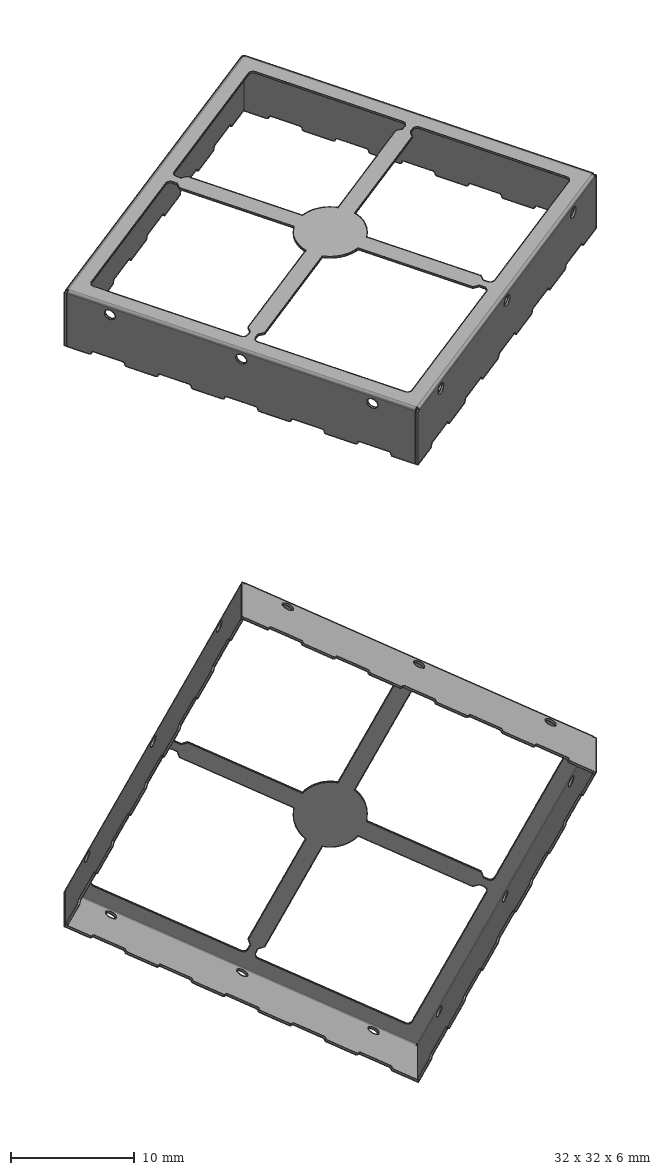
import cadquery as cq

side = 32.0
height = 6.0
thickness = 0.2
bend_radius = 0.25
bend_inner_radius = bend_radius - thickness

frame_width = 1.5
window_corner_radius = 0.4
spoke_width = frame_width
neck_width = 0.7
neck_length = 0.83
disc_diameter = 6.0

hole_count = 3
hole_diameter = 1.0
hole_spacing = 11.87
hole_drop = 1.0

notch_count = 5
notch_pitch = 6.0
notch_width = notch_pitch / 2
notch_radius = 0.2
notch_depth = 2 * notch_radius

half_side = side / 2
bend_start = half_side - bend_radius


def make_shell():
    """Open-bottomed square box whose top edges are rounded like sheet-metal bends."""
    outer = cq.Workplane("XY").box(side, side, height, centered=(True, True, False))
    outer = outer.faces(">Z").edges().fillet(bend_radius)
    inner_side = side - 2 * thickness
    inner = cq.Workplane("XY").box(inner_side, inner_side, height - thickness, centered=(True, True, False))
    inner = inner.faces(">Z").edges().fillet(bend_inner_radius)
    return outer.cut(inner)


def make_corner_reliefs():
    """Square cuts that free the bends at the corners, above the tops of the straight walls."""
    spacing = 2 * bend_start + bend_radius
    return (
        cq.Workplane("XY", origin=(0, 0, height - bend_radius))
        .rect(spacing, spacing, forConstruction=True)
        .vertices()
        .rect(bend_radius, bend_radius)
        .extrude(bend_radius)
    )


def make_corner_slits():
    """Narrow gaps between the ends of the Y walls and the inner faces of the X walls."""
    slit_width = bend_radius - thickness
    slit_centre = bend_start + slit_width / 2
    return (
        cq.Workplane("XY")
        .rect(2 * slit_centre, 2 * bend_start + bend_radius, forConstruction=True)
        .vertices()
        .rect(slit_width, bend_radius)
        .extrude(height)
    )


def make_window():
    """Window between two spokes, in the +X +Y quarter, narrowing each spoke to a neck at the frame."""
    outer_edge = half_side - frame_width
    neck_edge = neck_width / 2
    spoke_edge = spoke_width / 2
    neck_end = outer_edge - neck_length
    shoulder_end = neck_end - (spoke_edge - neck_edge)
    window = (
        cq.Workplane("XY", origin=(0, 0, height - 2 * bend_radius))
        .moveTo(spoke_edge, spoke_edge)
        .lineTo(shoulder_end, spoke_edge)
        .lineTo(neck_end, neck_edge)
        .lineTo(outer_edge, neck_edge)
        .lineTo(outer_edge, outer_edge)
        .lineTo(neck_edge, outer_edge)
        .lineTo(neck_edge, neck_end)
        .lineTo(spoke_edge, shoulder_end)
        .close()
        .extrude(2 * bend_radius)
    )
    outer_corners = window.edges("|Z").edges(">X or >Y")
    window = outer_corners.fillet(window_corner_radius)
    disc = cq.Workplane("XY").circle(disc_diameter / 2).extrude(height)
    return window.cut(disc)


def make_holes():
    """Three holes running right through both Y walls."""
    return (
        cq.Workplane("XZ", origin=(0, 0, height - hole_drop))
        .rarray(hole_spacing, 0.32, hole_count, 1)
        .circle(hole_diameter / 2)
        .extrude(half_side, both=True)
    )


def make_notch(centre):
    """Bottom notch through both Y walls; each end is a convex and a concave quarter circle."""
    half_width = notch_width / 2
    mouth = half_width + notch_radius
    roof = half_width - notch_radius
    return (
        cq.Workplane("XZ", origin=(centre, 0, 0))
        .moveTo(-mouth, 0)
        .radiusArc((-half_width, notch_radius), -notch_radius)
        .radiusArc((-roof, notch_depth), notch_radius)
        .lineTo(roof, notch_depth)
        .radiusArc((half_width, notch_radius), notch_radius)
        .radiusArc((mouth, 0), -notch_radius)
        .close()
        .extrude(half_side, both=True)
    )


def make_wall_cuts():
    """All holes and notches of the two Y walls, as one cutting body."""
    cuts = make_holes()
    for index in range(notch_count):
        centre = (index - (notch_count - 1) / 2) * notch_pitch
        cuts = cuts.add(make_notch(centre))
    return cuts.combine()


result = make_shell().cut(make_corner_reliefs()).cut(make_corner_slits())

window = make_window()
for quarter in range(4):
    result = result.cut(window.rotate((0, 0, 0), (0, 0, 1), 90 * quarter))

wall_cuts = make_wall_cuts()
for angle in (0, 90):
    result = result.cut(wall_cuts.rotate((0, 0, 0), (0, 0, 1), angle))